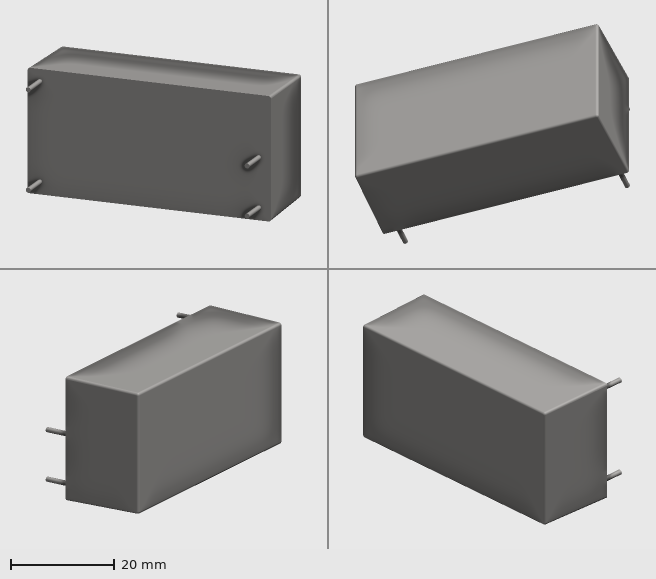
import cadquery as cq
import math

case_length = 50.8
case_height = 25.4
case_depth = 16.75
draft_angle = 1.0
edge_radius = 0.5
wall = 0.8

pin_diameter = 1.0
pin_length = 6.0
pin_x = 22.85
pin_z = 10.15
pin_positions = [(-pin_x, pin_z), (-pin_x, -pin_z), (pin_x, 0), (pin_x, -pin_z)]

core_length = case_length - 2 * wall
core_height = case_height - 2 * wall
core_depth = case_depth - wall


def make_core():
    """Block that fills the case, flush with its open face at Y = 0."""
    return cq.Workplane("XZ").rect(core_length, core_height).extrude(-core_depth)


def make_case():
    """Thin-walled case that narrows toward its closed, rounded +Y end."""
    inset = case_depth * math.tan(math.radians(draft_angle))
    shell = (
        cq.Workplane("XZ")
        .rect(case_length, case_height)
        .workplane(offset=-case_depth)
        .rect(case_length - 2 * inset, case_height - 2 * inset)
        .loft(ruled=True)
    )
    rounded = shell.edges("not <Y").fillet(edge_radius)
    return rounded.cut(make_core())


def make_pin(x, z):
    """Round pin standing on the potted face."""
    return cq.Workplane("XZ").center(x, z).circle(pin_diameter / 2).extrude(pin_length)


def make_potted_core():
    """Potting block together with its connection pins."""
    core = make_core()
    for x, z in pin_positions:
        core = core.union(make_pin(x, z))
    return core


case = make_case()
potted_core = make_potted_core()
result = cq.Compound.makeCompound([case.val(), potted_core.val()])